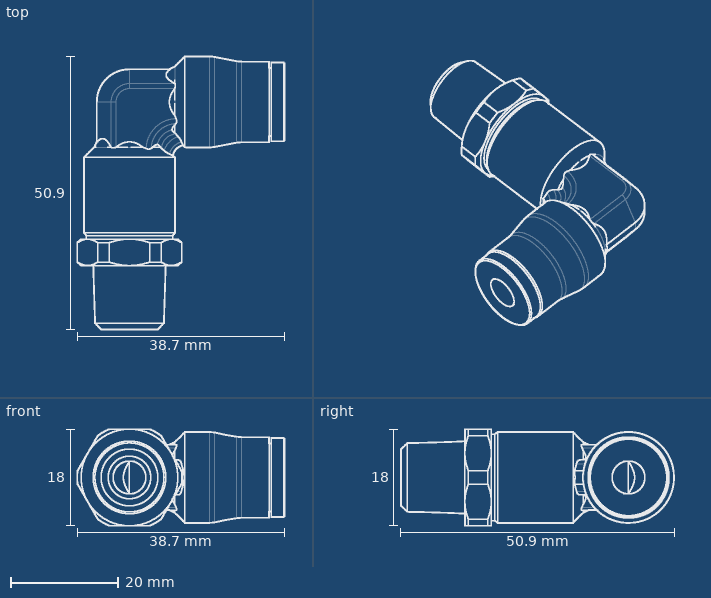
import cadquery as cq
import math


body_half = 6.1
ridge_half = 1.0
flank_angle = 60.0
body_edge_radius = 1.05
inner_bend_center = 8.8
inner_bend_radius = 5.15

web_half = 3.25
web_ridge_half = 1.25
web_throat_radius = 2.25
web_edge_radius = 1.3
web_root_radius = 1.0
web_root_limit = 7.15

barrel_radius = 8.5
shoulder_end = 10.35
shoulder_face = 8.45
shoulder_face_radius = 6.6
root_start = 6.1
root_start_radius = 5.45
shoulder = [
    (root_start, root_start_radius),
    (shoulder_face, shoulder_face_radius),
    (shoulder_end, barrel_radius),
]

collar_taper_start = 15.3
collar_taper_end = 20.35
collar_blend_radius = 5.1
collar_neck_radius = 7.55
groove_start = 26.0
groove_end = 26.35
groove_radius = 6.35
ring_radius = 7.4
ring_chamfer = 0.25
collar_end = 28.95

sleeve_end = 24.35
sleeve_chamfer_length = 0.55
sleeve_neck_radius = 8.1

hex_start = 25.55
hex_end = 30.5
hex_flats = 18.0
hex_corner_radius = 9.75
hex_chamfer_length = 0.65

stem_end = 42.4
stem_root_radius = 6.75
stem_taper = 1 / 32
stem_chamfer_length = 1.2
stem_tip_radius = 5.3

bore_radius = 3.05
counterbore_radius = 3.95
counterbore_depth = stem_end - hex_start
drill_point_angle = 118.0

margin = 0.25


def flank_run(height):
    """Horizontal distance covered by a flank over the given height."""
    return height / math.tan(math.radians(flank_angle))


def turned(points):
    """Solid of revolution about +X from (position, radius) points."""
    on_axis = [(points[-1][0], 0)]
    if points[0][1] > 0:
        on_axis.append((points[0][0], 0))
    outline = points + on_axis
    return cq.Workplane("XY").polyline(outline).close().revolve(360, (0, 0, 0), (1, 0, 0))


def along_stem(solid):
    """Turn a solid built along +X so that it runs along -Y."""
    return solid.rotate((0, 0, 0), (0, 0, 1), -90)


def inner_corner(center, half_height, edge_half, throat_radius):
    """Square block in the inner corner, hollowed by a round throat with sloping flanks."""
    block = (
        cq.Workplane("XY")
        .box(center, center, 2 * half_height)
        .translate((center / 2, -center / 2, 0))
    )
    top_radius = throat_radius + flank_run(half_height - edge_half)
    throat = (
        cq.Workplane("XZ")
        .polyline([
            (0, half_height), (top_radius, half_height), (throat_radius, edge_half),
            (throat_radius, -edge_half), (top_radius, -half_height), (0, -half_height),
        ])
        .close()
        .revolve(360, (0, 0, 0), (0, 1, 0))
        .translate((center, -center, 0))
    )
    return block.cut(throat)


def elbow_body():
    """Two arms of flanked section, joined by a round outer bend and a hollowed inner bend."""
    top_half = body_half - flank_run(body_half - ridge_half)
    right_half = [
        (top_half, -body_half), (body_half, -ridge_half),
        (body_half, ridge_half), (top_half, body_half),
    ]
    left_half = [(-x, -z) for x, z in right_half]
    arm = cq.Workplane("YZ").polyline(right_half + left_half).close().extrude(inner_bend_center)
    outer_bend = (
        cq.Workplane("XZ")
        .polyline([(0, -body_half)] + right_half + [(0, body_half)])
        .close()
        .revolve(360, (0, 0, 0), (0, 1, 0))
    )
    throat_radius = inner_bend_radius - flank_run(body_half - ridge_half)
    inside = inner_corner(inner_bend_center, body_half, ridge_half, throat_radius)
    body = arm.union(along_stem(arm)).union(outer_bend).union(inside).clean()
    rim = body.faces(">Z or <Z").edges("not (>X or <Y)")
    return rim.fillet(body_edge_radius)


def corner_web():
    """Thinner web filling the inner corner between the two shoulders."""
    web = inner_corner(shoulder_end, web_half, web_ridge_half, web_throat_radius)
    return web.faces(">Z or <Z").edges("%CIRCLE").fillet(web_edge_radius)


def webbed_elbow():
    """Elbow with its web, filleted where the web meets the flanks of the inner bend."""
    body = elbow_body().union(corner_web())
    root_zone = cq.selectors.BoxSelector(
        (0, 0, -web_half - margin), (web_root_limit, -web_root_limit, web_half + margin)
    )
    roots = body.edges("%CIRCLE").edges(root_zone)
    return roots.fillet(web_root_radius)


def collar():
    """Collar with a blended taper, a narrow groove and a chamfered release ring."""
    shell = turned(shoulder + [
        (collar_taper_start, barrel_radius),
        (collar_taper_end, collar_neck_radius),
        (groove_start, collar_neck_radius),
    ])
    taper_ends = cq.selectors.BoxSelector(
        (collar_taper_start - margin, -barrel_radius, -barrel_radius),
        (collar_taper_end + margin, barrel_radius, barrel_radius),
    )
    shell = shell.edges("%CIRCLE").edges(taper_ends).fillet(collar_blend_radius)
    groove = turned([(groove_start, groove_radius), (groove_end, groove_radius)])
    ring = turned([
        (groove_end, ring_radius),
        (collar_end - ring_chamfer, ring_radius),
        (collar_end, ring_radius - ring_chamfer),
    ])
    return shell.union(groove).union(ring)


def sleeve_and_stem():
    """Sleeve, its reduced neck running through the hexagon, and the tapered stem."""
    stem_chamfer_start = stem_end - stem_chamfer_length
    stem_small_radius = stem_root_radius - stem_taper * (stem_chamfer_start - hex_end)
    return along_stem(turned(shoulder + [
        (sleeve_end, barrel_radius),
        (sleeve_end + sleeve_chamfer_length, sleeve_neck_radius),
        (hex_end, sleeve_neck_radius),
        (hex_end, stem_root_radius),
        (stem_chamfer_start, stem_small_radius),
        (stem_end, stem_tip_radius),
    ]))


def hexagon():
    """Hexagon with flats facing +Z and -Z and corners rounded off by a chamfered turning."""
    blank = (
        cq.Workplane("YZ", origin=(hex_start, 0, 0))
        .polygon(6, hex_flats / math.cos(math.pi / 6))
        .extrude(hex_end - hex_start)
    )
    turning = turned([
        (hex_start, hex_flats / 2),
        (hex_start + hex_chamfer_length, hex_corner_radius),
        (hex_end - hex_chamfer_length, hex_corner_radius),
        (hex_end, hex_flats / 2),
    ])
    return along_stem(blank.intersect(turning))


def drilled_bore(length):
    """Drill from the far end to the origin, with the drill point just past it."""
    point_length = bore_radius / math.tan(math.radians(drill_point_angle / 2))
    return turned([(-point_length, 0), (0, bore_radius), (length, bore_radius)])


def counterbore():
    """Wider bore through the stem and the hexagon."""
    return along_stem(turned([
        (stem_end - counterbore_depth, counterbore_radius),
        (stem_end, counterbore_radius),
    ]))


result = (
    webbed_elbow()
    .union(collar())
    .union(sleeve_and_stem())
    .union(hexagon())
    .cut(drilled_bore(collar_end))
    .cut(along_stem(drilled_bore(stem_end)))
    .cut(counterbore())
)